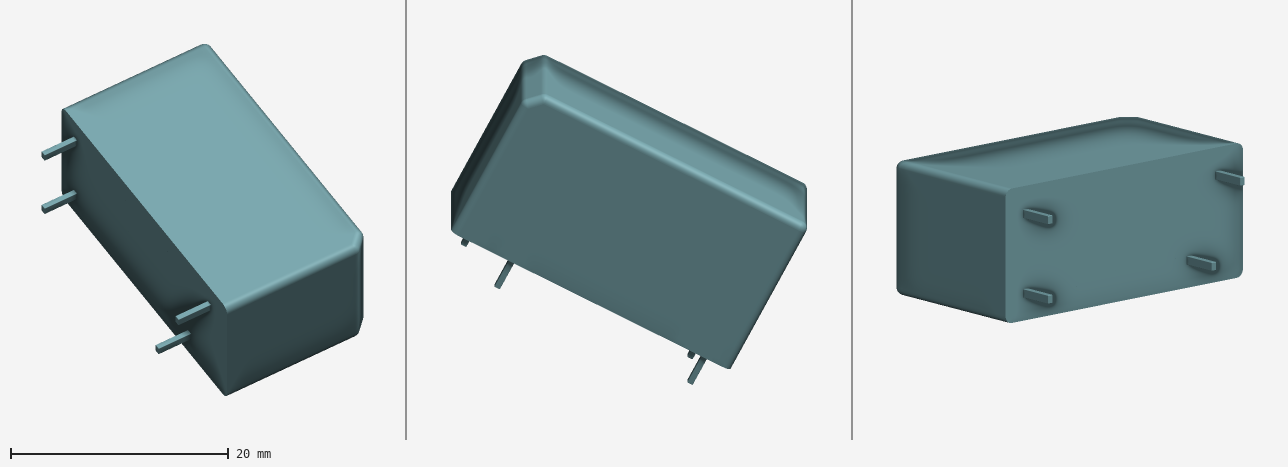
import cadquery as cq

BODY_LENGTH = 29.0
BODY_DEPTH = 15.7
BODY_WIDTH = 12.7
CORNER_CHAMFER = 1.5
EDGE_RADIUS = 0.75

PIN_LENGTH = 3.5
PIN_SIZE_X = 0.55
PIN_SIZE_Z = 0.8
PIN_EDGE_RADIUS = 0.05
FIRST_PIN_X = -12.1
LOWER_PIN_PITCH = 20.0
UPPER_PIN_PITCH = 23.48
PIN_ROW_SPACING = 7.5

PIN_ROW_Z = PIN_ROW_SPACING / 2
PIN_POSITIONS = [
    (FIRST_PIN_X, PIN_ROW_Z),
    (FIRST_PIN_X + UPPER_PIN_PITCH, PIN_ROW_Z),
    (FIRST_PIN_X, -PIN_ROW_Z),
    (FIRST_PIN_X + LOWER_PIN_PITCH, -PIN_ROW_Z),
]


def make_body():
    """Housing with one cut corner; every edge is rounded except those of the flat base."""
    block = cq.Workplane("XY").box(
        BODY_LENGTH, BODY_DEPTH, BODY_WIDTH, centered=(True, False, True)
    )
    block = block.edges(">X and >Y").chamfer(CORNER_CHAMFER)
    return block.edges("not(<Y)").fillet(EDGE_RADIUS)


def make_pin(x, z):
    """Pin with its long edges and free end rounded."""
    pin = cq.Workplane("XY").box(
        PIN_SIZE_X, PIN_LENGTH, PIN_SIZE_Z, centered=(True, False, True)
    )
    pin = pin.edges("not(>Y)").fillet(PIN_EDGE_RADIUS)
    return pin.translate((x, -PIN_LENGTH, z))


result = make_body()
for pin_x, pin_z in PIN_POSITIONS:
    result = result.union(make_pin(pin_x, pin_z))